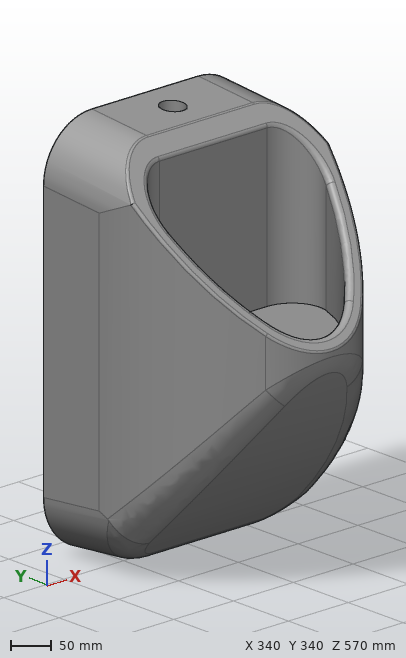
import cadquery as cq
import math

height = 570.0
width = 340.0
depth = 340.0

side_depth = 101.5
draft_angle = 5.0
corner_radius = 81.0

nose_half_width = 81.0
nose_back = 308.0

rim_depth = 101.0
underside_top = 301.0
underside_mid = (-263.5, 185.0)
underside_foot = (-97.0, 5.5)
underside_radius = 45.5
rim_outer_radius = 4.5

wall = 23.0
bowl_back = 124.0
bowl_floor = 301.0
bowl_corner_radius = 45.5
rim_inner_radius = 8.0

inlet_diameter = 35.5
inlet_center = 51.0
inlet_bottom = 550.5

cutter_margin = 5.5

half_width = width / 2
draft = math.tan(math.radians(draft_angle))
rim_height = height - rim_depth * draft
rim_nose_height = rim_height - (depth - rim_depth)

flank_dx = half_width - nose_half_width
flank_dy = nose_back - side_depth
flank_radius = (flank_dx**2 + flank_dy**2) / (2 * flank_dx)
nose_rise = depth - nose_back
nose_radius = (nose_half_width**2 + nose_rise**2) / (2 * nose_rise)


def plan_outline(inset, back):
    """Closed plan outline with curved flanks and nose, moved inwards by inset."""
    flank_r = flank_radius - inset
    flank_center = half_width - flank_radius
    nose_r = nose_radius - inset
    nose_center = nose_radius - depth
    nose_angle = math.asin(nose_half_width / nose_radius)
    end_x = nose_r * math.sin(nose_angle)
    end_y = nose_center - nose_r * math.cos(nose_angle)
    end_angle = math.asin((-side_depth - end_y) / flank_r)
    start_angle = math.asin(max(back - side_depth, 0) / flank_r)
    mid_angle = (start_angle + end_angle) / 2

    def flank_point(angle, side):
        return (
            side * (flank_center + flank_r * math.cos(angle)),
            -side_depth - flank_r * math.sin(angle),
        )

    start_x = flank_point(start_angle, 1)[0]
    outline = cq.Workplane("XY").moveTo(-start_x, -back).lineTo(start_x, -back)
    if back < side_depth:
        outline = outline.lineTo(*flank_point(start_angle, 1))
    outline = (
        outline.threePointArc(flank_point(mid_angle, 1), (end_x, end_y))
        .threePointArc((0, inset - depth), (-end_x, end_y))
        .threePointArc(flank_point(mid_angle, -1), flank_point(start_angle, -1))
    )
    return outline.close()


def make_housing():
    """Drafted block with the four long corners rounded."""
    drop = depth * draft
    block = (
        cq.Workplane("YZ")
        .polyline([(0, 0), (0, height), (-depth, height - drop), (-depth, drop)])
        .close()
        .extrude(half_width, both=True)
    )
    sides = block.faces("<X or >X").edges("not(|Z)")
    return sides.fillet(corner_radius)


def make_side_profile():
    """Side silhouette with sloping rim and curved underside, open at the nose."""
    foot_y, foot_z = underside_foot
    profile = (
        cq.Workplane("YZ")
        .moveTo(0, -cutter_margin)
        .lineTo(0, rim_height + rim_depth)
        .lineTo(-depth - cutter_margin, rim_nose_height - cutter_margin)
        .lineTo(-depth - cutter_margin, underside_top)
        .lineTo(-depth, underside_top)
        .threePointArc(underside_mid, underside_foot)
        .lineTo(foot_y + foot_z + cutter_margin, -cutter_margin)
        .close()
    )
    return profile.extrude(half_width + cutter_margin, both=True)


def make_bowl():
    """Bowl following the front outline, with rounded back corners and a flat floor."""
    bowl = plan_outline(wall, bowl_back).extrude(height).translate((0, 0, bowl_floor))
    return bowl.edges("|Z and >Y").fillet(bowl_corner_radius)


def make_inlet():
    """Blind water inlet in the top face."""
    inlet = cq.Workplane("XY", origin=(0, -inlet_center, inlet_bottom))
    return inlet.circle(inlet_diameter / 2).extrude(height)


def rim_face(body):
    """Workplane holding the sloping rim face."""
    return body.faces(cq.selectors.DirectionMinMaxSelector(cq.Vector(0, -1, 1), True))


body = plan_outline(0, 0).extrude(height)
body = body.intersect(make_housing()).intersect(make_side_profile())

mid_y, mid_z = underside_mid
underside = body.faces(cq.selectors.NearestToPointSelector((0, mid_y, mid_z)))
body = underside.edges().fillet(underside_radius)
body = rim_face(body).edges().fillet(rim_outer_radius)

body = body.cut(make_bowl())
bowl_rim = rim_face(body).wires(cq.selectors.LengthNthSelector(0))
body = bowl_rim.edges().fillet(rim_inner_radius)

result = body.cut(make_inlet())